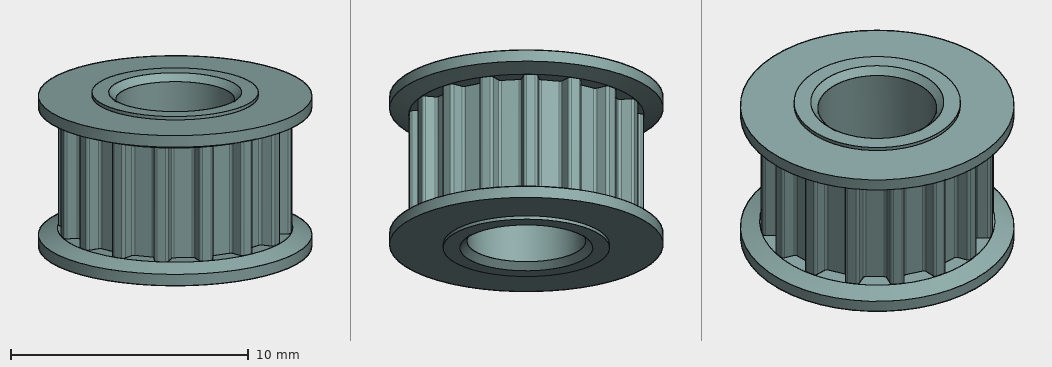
import cadquery as cq
import math

half_height = 3.45
hub_step = 0.15
flange_thickness = 0.79
flange_rim_height = 0.51
flange_top = half_height - hub_step
flange_base = flange_top - flange_thickness
cone_top = flange_top - flange_rim_height

flange_radius = 5.75
hub_radius = 3.5
bore_radius = 2.5
bore_chamfer = 0.3
tip_radius = 4.92
cone_inner_radius = 4.95

tooth_count = 16
tooth_pitch_angle = 360.0 / tooth_count
groove_depth = 0.63
groove_floor_width = 0.93
groove_flank_angle = 20.0
corner_radius = 0.13
root_radius = tip_radius - groove_depth
groove_overshoot = 0.23


def centred_cylinder(radius, half_length):
    """Solid cylinder on Z, symmetric about the mid-plane."""
    return cq.Workplane("XY").circle(radius).extrude(half_length, both=True)


def groove_cutter():
    """Trapezoidal prism on +X that cuts one groove with a rounded root."""
    outer_radius = tip_radius + groove_overshoot
    floor_half = groove_floor_width / 2
    flank_spread = (outer_radius - root_radius) * math.tan(math.radians(groove_flank_angle))
    mouth_half = floor_half + flank_spread
    outline = [
        (root_radius, -floor_half),
        (outer_radius, -mouth_half),
        (outer_radius, mouth_half),
        (root_radius, floor_half),
    ]
    prism = cq.Workplane("XY").polyline(outline).close().extrude(flange_base, both=True)
    return prism.edges("|Z and <X").fillet(corner_radius)


def toothed_body():
    """Cylinder with evenly spaced grooves and rounded tooth tips."""
    body = centred_cylinder(tip_radius, flange_base)
    cutter = groove_cutter()
    for index in range(tooth_count):
        body = body.cut(cutter.rotate((0, 0, 0), (0, 0, 1), index * tooth_pitch_angle))
    corners = body.edges("|Z").filter(
        lambda edge: math.hypot(edge.Center().x, edge.Center().y) > tip_radius - corner_radius
    )
    return corners.fillet(corner_radius)


def upper_flange():
    """Flange with a conical inner side and the raised hub face above it."""
    profile = [
        (0, flange_base),
        (cone_inner_radius, flange_base),
        (flange_radius, cone_top),
        (flange_radius, flange_top),
        (hub_radius, flange_top),
        (hub_radius, half_height),
        (0, half_height),
    ]
    return cq.Workplane("XZ").polyline(profile).close().revolve(360, (0, 0), (0, 1))


def bore_cutter():
    """Through bore with a chamfer at both ends."""
    mouth_radius = bore_radius + bore_chamfer
    chamfer_start = half_height - bore_chamfer
    profile = [
        (0, -half_height),
        (mouth_radius, -half_height),
        (bore_radius, -chamfer_start),
        (bore_radius, chamfer_start),
        (mouth_radius, half_height),
        (0, half_height),
    ]
    return cq.Workplane("XZ").polyline(profile).close().revolve(360, (0, 0), (0, 1))


flange = upper_flange()
result = toothed_body().union(flange).union(flange.mirror("XY")).cut(bore_cutter())